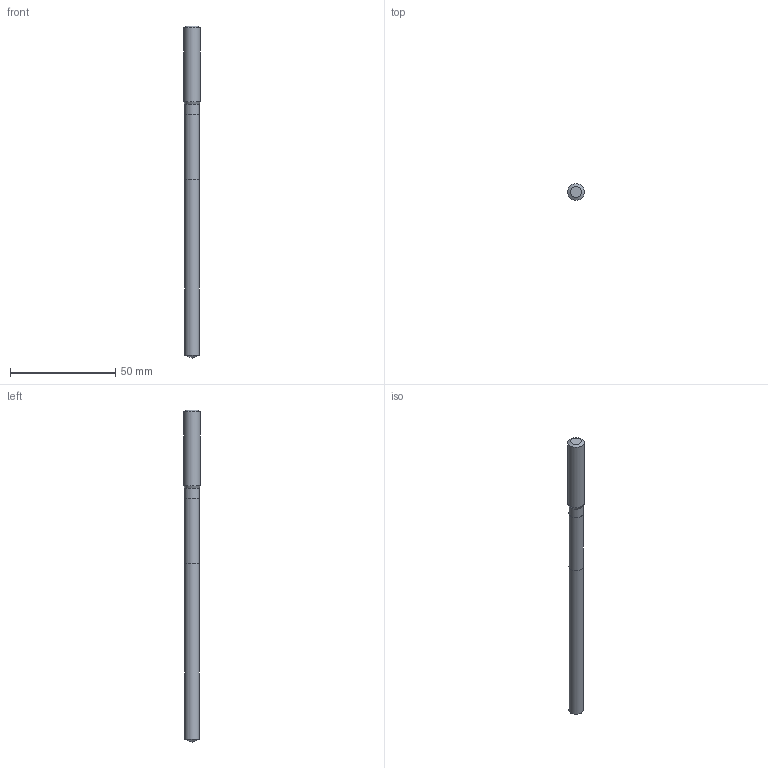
import cadquery as cq
import math

overall_length = 158.0
shank_diameter = 8.0
shank_length = 36.0
drill_diameter = 6.86
point_angle = 140.0
usable_length = 85.0
flute_length = 116.0
shoulder_height = 1.2
end_chamfer_width = 1.4
end_chamfer_angle = 30.0

shank_radius = shank_diameter / 2
drill_radius = drill_diameter / 2
end_radius = shank_radius - end_chamfer_width
point_height = drill_radius / math.tan(math.radians(point_angle / 2))
end_chamfer_height = end_chamfer_width * math.tan(math.radians(end_chamfer_angle))
shank_bottom = overall_length - shank_length
neck_top = shank_bottom - shoulder_height


def revolved(profile):
    """Turn a closed (radius, height) profile around the Z axis."""
    axis_start = (0, 0)
    axis_end = (0, 1)
    return cq.Workplane("XZ").polyline(profile).close().revolve(360, axis_start, axis_end)


def make_cutting_part():
    """Cylinder with a conical point and a flush seam at the usable length."""
    front = revolved([
        (0, 0),
        (drill_radius, point_height),
        (drill_radius, usable_length),
        (0, usable_length),
    ])
    rear = (
        cq.Workplane("XY")
        .workplane(offset=usable_length)
        .circle(drill_radius)
        .extrude(flute_length - usable_length)
    )
    return front.union(rear, clean=False)


def make_shank():
    """Neck, shoulder cone and shank with a chamfered end."""
    return revolved([
        (0, flute_length),
        (drill_radius, flute_length),
        (drill_radius, neck_top),
        (shank_radius, shank_bottom),
        (shank_radius, overall_length - end_chamfer_height),
        (end_radius, overall_length),
        (0, overall_length),
    ])


cutting_part = make_cutting_part()
shank = make_shank()

result = cq.Compound.makeCompound([cutting_part.val(), shank.val()])